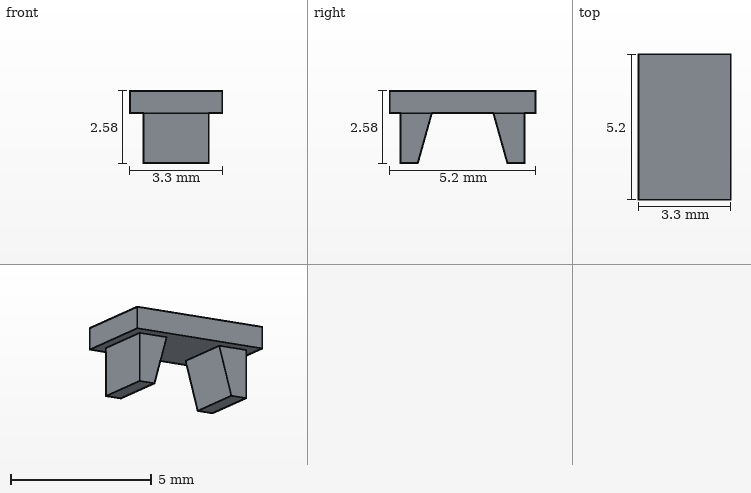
import cadquery as cq

plate_width = 3.3
plate_length = 5.2
plate_thickness = 0.8

total_height = 2.58
leg_width = 2.34
leg_span = 4.43
leg_root = 1.12
leg_tip = 0.62
leg_height = total_height - plate_thickness


def make_plate():
    """Rectangular plate whose underside sits on top of the legs."""
    plate = cq.Workplane("XY").box(plate_width, plate_length, plate_thickness, centered=(True, True, False))
    return plate.translate((0, 0, leg_height))


def make_leg(side):
    """Leg with a vertical outer face and a sloping inner face; side is -1 or +1 along Y."""
    outer = leg_span / 2
    profile = [
        (side * outer, 0),
        (side * outer, leg_height),
        (side * (outer - leg_root), leg_height),
        (side * (outer - leg_tip), 0),
    ]
    return cq.Workplane("YZ").polyline(profile).close().extrude(leg_width / 2, both=True)


result = make_plate()
for side in (-1, 1):
    result = result.union(make_leg(side))